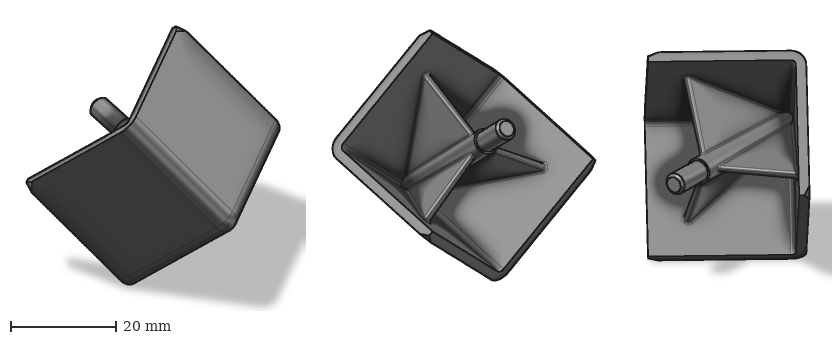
import cadquery as cq
import math

side = 30.0
wall = 2.0
outer_round = 3.0
inner_round = 1.0
tip_radius = 23.7

wall_turns = (0, 120, 240)

boss_radius = 2.5
pin_radius = 2.1
pin_end = -44.25
pin_chamfer = 0.55
shoulder = -(2 * side + wall) / math.sqrt(3)
stem_root = -4.05

rib_width = 1.4
rib_draft = 1.0
rib_stem_x = -32.85
rib_wall_x = -27.45
rib_root = -2.85
rib_round = 0.5
rib_fillet = 0.5

contact_tolerance = 0.0005
joint_limit_x = -9.5

wall_slope = 1 / math.sqrt(2)
radial_wall = wall * math.sqrt(1.5)


def make_rounded_cube(start, size, radius):
    """Cube from one corner, rounding the three edges that meet there."""
    cube = cq.Workplane("XY").box(size, size, size, centered=False)
    near_edges = cube.edges("(<X and <Y) or (<X and <Z) or (<Y and <Z)")
    return near_edges.fillet(radius).translate((start, start, start))


def make_corner():
    """Hollow cube corner, turned so its diagonal lies on X with the corner at the origin."""
    outer = make_rounded_cube(0, side, outer_round)
    corner = outer.cut(make_rounded_cube(wall, side, inner_round))
    diagonal_tilt = math.degrees(math.atan(1 / math.sqrt(2)))
    corner = corner.rotate((0, 0, 0), (0, 0, 1), 135)
    corner = corner.rotate((0, 0, 0), (0, 1, 0), -diagonal_tilt)
    return corner.rotate((0, 0, 0), (1, 0, 0), -90)


def make_stem():
    boss = cq.Workplane("YZ", origin=(shoulder, 0, 0)).circle(boss_radius).extrude(stem_root - shoulder)
    pin = cq.Workplane("YZ", origin=(pin_end, 0, 0)).circle(pin_radius).extrude(shoulder - pin_end)
    return boss.union(pin.faces("<X").chamfer(pin_chamfer))


def make_rib():
    """Drafted rib in the XY plane, reaching toward -Y and ending inside the wall."""
    contact_y = rib_wall_x * wall_slope + radial_wall
    edge_slope = (contact_y + boss_radius) / (rib_wall_x - rib_stem_x)
    start_x = rib_stem_x + boss_radius / edge_slope
    buried_x = rib_wall_x - wall / 2 / edge_slope
    buried_y = contact_y - wall / 2
    outline = [(start_x, 0), (buried_x, buried_y), (rib_root, 0)]
    plate = cq.Workplane("XY").polyline(outline).close().extrude(rib_width * 2, both=True)

    def half_width(x):
        return rib_width / 2 + (x - rib_wall_x) * math.tan(math.radians(rib_draft))

    free_half = half_width(start_x)
    root_half = half_width(0)
    section = [(start_x, -free_half), (0, -root_half), (0, root_half), (start_x, free_half)]
    wedge = cq.Workplane("XZ").polyline(section).close().extrude(side)
    rib = plate.intersect(wedge)
    return rib.faces("<X").edges("not |Z").fillet(rib_round)


def trim_tips(solid):
    """Flatten the three wall tips on planes parallel to the axis."""
    for turn in wall_turns:
        block = cq.Workplane("XY").box(side, side, side).translate((shoulder, -tip_radius - side / 2, 0))
        solid = solid.cut(block.rotate((0, 0, 0), (1, 0, 0), turn))
    return solid


def is_joint(edge, first, second):
    """True where the edge joins the two bodies, away from the ends of the ribs buried in the corner."""
    if edge.Center().x > joint_limit_x:
        return False
    middle = cq.Vertex.makeVertex(*edge.positionAt(0.5).toTuple())
    return all(middle.distance(body.val()) < contact_tolerance for body in (first, second))


base = make_corner().union(make_stem())
ribs = make_rib()
for turn in wall_turns[1:]:
    ribs = ribs.union(make_rib().rotate((0, 0, 0), (1, 0, 0), turn))
body = base.union(ribs)
joints = body.edges().filter(lambda edge: is_joint(edge, base, ribs))
result = trim_tips(joints.fillet(rib_fillet))